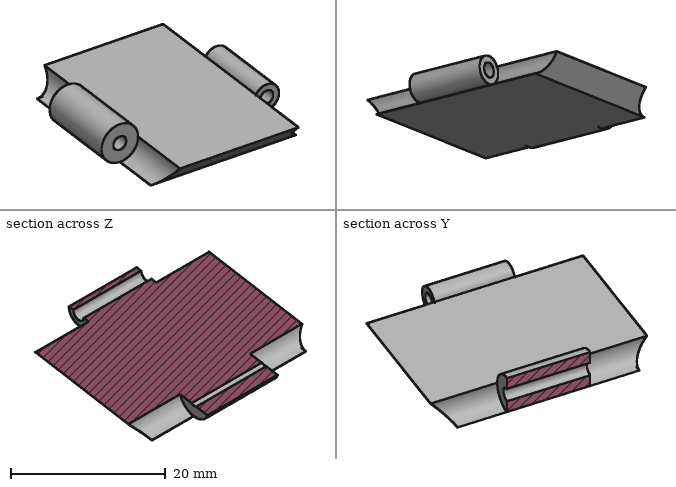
import cadquery as cq

plate_length = 31.27
bottom_length = 26.27
overall_width = 27.8

large_diameter = 5.7
large_length = 12.0
small_diameter = 3.85
small_length = 11.6
pin_diameter = 2.0

large_radius = large_diameter / 2
small_radius = small_diameter / 2
thickness = large_radius
large_y = -overall_width / 2 + large_radius
small_y = overall_width / 2 - small_radius
small_z = small_radius - thickness
small_edge_inset = 0.47
plate_back_y = small_y - small_edge_inset


def cylinder_along_x(diameter, length, y, z):
    """Cylinder parallel to X and centred on X = 0."""
    return (
        cq.Workplane("YZ", origin=(-length / 2, y, z))
        .circle(diameter / 2)
        .extrude(length)
    )


def make_plate():
    """Bevelled plate with a concave edge concentric with each barrel."""
    plate = (
        cq.Workplane("XZ", origin=(0, large_y, 0))
        .polyline([
            (-plate_length / 2, 0),
            (plate_length / 2, 0),
            (bottom_length / 2, -thickness),
            (-bottom_length / 2, -thickness),
        ])
        .close()
        .extrude(large_y - plate_back_y)
    )
    plate = plate.cut(cylinder_along_x(large_diameter, plate_length, large_y, 0))
    return plate.cut(cylinder_along_x(small_diameter, plate_length, small_y, small_z))


large_barrel = cylinder_along_x(large_diameter, large_length, large_y, 0)
small_barrel = cylinder_along_x(small_diameter, small_length, small_y, small_z)
large_pin_hole = cylinder_along_x(pin_diameter, large_length, large_y, 0)
small_pin_hole = cylinder_along_x(pin_diameter, small_length, small_y, small_z)

result = (
    make_plate()
    .union(large_barrel)
    .union(small_barrel)
    .cut(large_pin_hole)
    .cut(small_pin_hole)
)